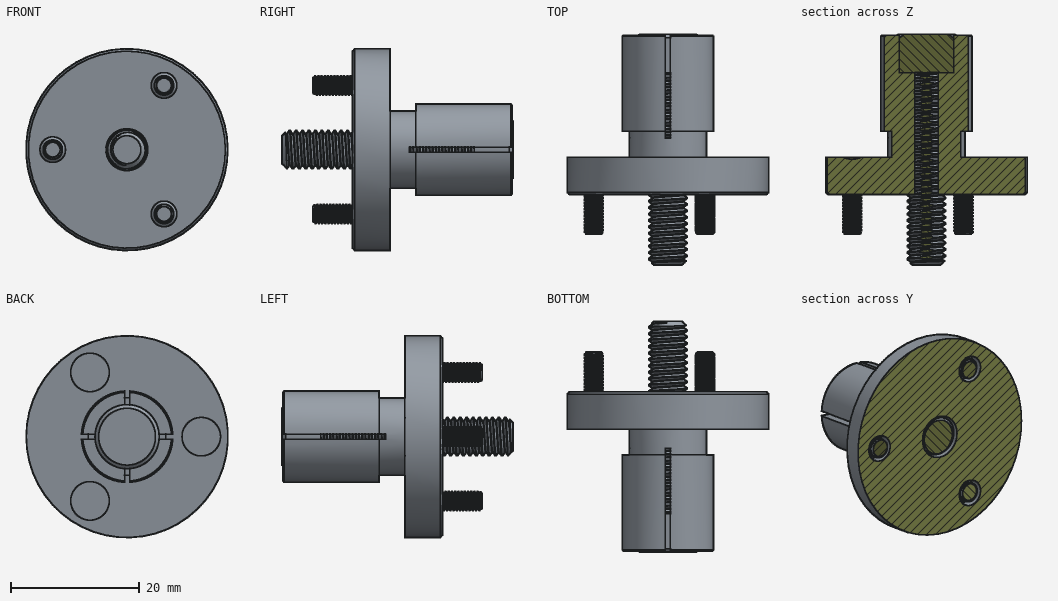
import cadquery as cq
import math


flange_diameter = 31.45
flange_thickness = 5.85
flange_chamfer = 0.4
neck_diameter = 12.1
neck_length = 4.0
sleeve_diameter = 14.25
sleeve_length = 15.0
sleeve_chamfer = 0.2
slot_width = 0.8
slot_overrun = 1.0
bore_diameter = 6.5

screw_diameter = 6.0
screw_root_diameter = 4.95
screw_pitch = 1.0
screw_tip_chamfer = 0.83
screw_reach = 10.98
screw_thread_start = 180
head_diameter = 10.0
head_height = 6.0
head_chamfer = 0.58
head_projection = 0.15

stud_count = 3
stud_circle_radius = 11.55
stud_diameter = 3.02
stud_root_diameter = 2.45
stud_pitch = 0.5
stud_tip_chamfer = 0.35
stud_reach = 6.2
stud_thread_start = 90
stud_head_diameter = 6.0
stud_hole_diameter = 4.0

crest_fraction = 1 / 8
root_fraction = 7 / 8

spare_turns = 2
crest_clearance = 0.1

neck_end = flange_thickness + neck_length
sleeve_end = neck_end + sleeve_length
head_end = sleeve_end + head_projection
head_seat = head_end - head_height
slot_end = neck_end - slot_overrun
stud_head_height = (stud_head_diameter - stud_diameter) / 2
stud_thread_base = flange_thickness - stud_head_height


def cylinder(diameter, start, end):
    """Cylinder about the Y axis from Y = start to Y = end."""
    plane = cq.Workplane("XZ", origin=(0, end, 0))
    return plane.circle(diameter / 2).extrude(end - start)


def endless_thread(root_radius, crest_radius, pitch, turns):
    """Right-hand thread about Z with unfinished ends; each crest crosses +X at a multiple of the pitch."""
    half_crest = pitch * crest_fraction / 2
    half_root = pitch * root_fraction / 2
    profile = [
        (root_radius, half_root - pitch),
        (root_radius, -half_root),
        (crest_radius, -half_crest),
        (crest_radius, half_crest),
        (root_radius, half_root),
    ]
    bottom = profile[0][1]
    top = profile[-1][1]

    helices = [
        cq.Wire.makeHelix(pitch, pitch, radius).Edges()[0].translate(cq.Vector(0, 0, height))
        for radius, height in profile
    ]
    strips = [cq.Face.makeRuledSurface(lower, upper) for lower, upper in zip(helices, helices[1:])]

    axis_line = cq.Edge.makeLine(cq.Vector(0, 0, bottom), cq.Vector(0, 0, top))
    spiral_floor = cq.Face.makeRuledSurface(axis_line, helices[0])
    step_corners = [(0, bottom), *profile, (0, top)]
    step_outline = [cq.Vector(radius, 0, height) for radius, height in step_corners]
    seam_step = cq.Face.makeFromWires(cq.Wire.makePolygon(step_outline, close=True))

    faces = [strip.translate(cq.Vector(0, 0, turn * pitch)) for turn in range(turns) for strip in strips]
    for end_height in (0, turns * pitch):
        faces.append(spiral_floor.translate(cq.Vector(0, 0, end_height)))
        faces.append(seam_step.translate(cq.Vector(0, 0, end_height)))
    return cq.Workplane(cq.Solid.makeSolid(cq.Shell.makeShell(faces)))


def threaded_rod(diameter, root_diameter, pitch, length, tip_chamfer, start_angle):
    """Threaded rod along -Y from Y = 0; start_angle is where the crest begins, from +X."""
    turns = math.ceil(length / pitch) + 2 * spare_turns
    thread = endless_thread(root_diameter / 2, diameter / 2, pitch, turns)
    thread = thread.translate((0, 0, -spare_turns * pitch)).rotate((0, 0, 0), (0, 0, 1), start_angle)

    envelope = (
        cq.Workplane("XY")
        .circle(diameter / 2 + crest_clearance)
        .extrude(length)
        .faces(">Z")
        .chamfer(tip_chamfer + crest_clearance)
    )
    return thread.intersect(envelope).rotate((0, 0, 0), (1, 0, 0), 90)


def around_flange(body, index):
    """Turn a body built at the -X stud position to its place on the stud circle."""
    return body.rotate((0, 0, 0), (0, -1, 0), index * 360 / stud_count)


def stud_head():
    """Conical head about the Y axis, flush with the back of the flange."""
    return (
        cq.Workplane("XY")
        .moveTo(0, stud_thread_base)
        .lineTo(stud_diameter / 2, stud_thread_base)
        .lineTo(stud_head_diameter / 2, flange_thickness)
        .lineTo(0, flange_thickness)
        .close()
        .revolve(360, (0, 0), (0, 1))
    )


def make_housing():
    flange = cylinder(flange_diameter, 0, flange_thickness).faces("<Y").chamfer(flange_chamfer)
    neck = cylinder(neck_diameter, flange_thickness, neck_end)
    sleeve = cylinder(sleeve_diameter, neck_end, sleeve_end).faces(">Y").chamfer(sleeve_chamfer)
    body = flange.union(neck).union(sleeve)

    body = body.cut(cylinder(bore_diameter, 0, head_seat))
    body = body.cut(cylinder(head_diameter, head_seat, sleeve_end))

    for size in [(slot_width, sleeve_diameter), (sleeve_diameter, slot_width)]:
        slot = cq.Workplane("XZ", origin=(0, sleeve_end, 0)).rect(*size).extrude(sleeve_end - slot_end)
        body = body.cut(slot)

    stud_hole = cylinder(stud_hole_diameter, 0, flange_thickness).union(stud_head())
    stud_hole = stud_hole.translate((-stud_circle_radius, 0, 0))
    for index in range(stud_count):
        body = body.cut(around_flange(stud_hole, index))
    return body


def make_clamping_screw():
    length = head_seat + screw_reach
    rod = threaded_rod(
        screw_diameter, screw_root_diameter, screw_pitch, length, screw_tip_chamfer, screw_thread_start
    ).translate((0, head_seat, 0))
    head = cylinder(head_diameter, head_seat, head_end).faces(">Y").chamfer(head_chamfer)
    return rod.union(head)


def make_stud():
    """Stud at the -X position."""
    length = stud_thread_base + stud_reach
    rod = threaded_rod(
        stud_diameter, stud_root_diameter, stud_pitch, length, stud_tip_chamfer, stud_thread_start
    ).translate((0, stud_thread_base, 0))
    return rod.union(stud_head()).translate((-stud_circle_radius, 0, 0))


housing = make_housing()
clamping_screw = make_clamping_screw()
stud = make_stud()
studs = [around_flange(stud, index) for index in range(stud_count)]

result = cq.Compound.makeCompound(
    [housing.val(), clamping_screw.val(), *[stud.val() for stud in studs]]
)